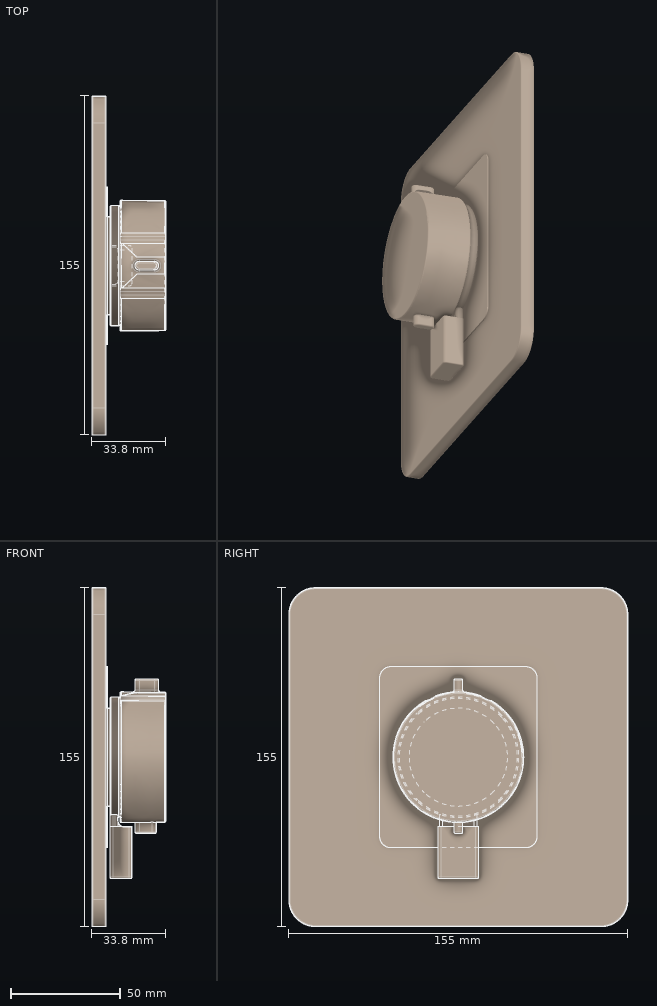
import cadquery as cq
import math


PLATE_SIDE = 155.0
PLATE_THICKNESS = 6.5
PLATE_CORNER_RADIUS = 12.4
PLATE_EDGE_FILLET = 0.5

PAD_WIDTH = 71.9
PAD_HEIGHT = 82.8
PAD_THICKNESS = 0.6
PAD_CORNER_RADIUS = 5.1

SPACER_RADIUS = 22.5
SPACER_THICKNESS = 1.1

BASE_RADIUS = 27.6
BASE_THICKNESS = 4.6
BASE_EDGE_CHAMFER = 0.6
ARM_WIDTH = 18.6
ARM_DEPTH = 10.0
ARM_TOP = -31.8
ARM_BOTTOM = -55.5
ARM_EDGE_FILLET = 1.4
ARM_END_FILLET = 0.6
ARM_NECK_WIDTH = 17.0
ARM_NECK_DEPTH = 3.7
WEB_RADIUS = 2.8
NECK_SIDE_FILLET = 1.4

KNOB_RADIUS = 29.9
KNOB_TIP_RADIUS = 29.8
KNOB_LENGTH = 21.0
KNOB_EDGE_FILLET = 0.6

GROOVE_DEPTH = 0.3
GROOVE_INNER = 10.2
GROOVE_OUTER = 15.0
GROOVE_FLOOR_INNER = 11.8
GROOVE_FLOOR_OUTER = 13.3

RELIEF_DEPTH = 0.2
RELIEF_INNER = 3.9
RELIEF_POINT = 1.0
RELIEF_SHOULDER = 7.8

TAB_WIDTH = 4.0
TAB_START = 6.8
TAB_LENGTH = 10.8
TAB_REACH = 35.8
TAB_ROOT_FILLET = 1.0
ROOT_BAND = 1.0
LUG_LENGTH = 9.8
LUG_REACH = 34.9
TIP_FILLET = 0.8

pad_start = PLATE_THICKNESS
spacer_start = pad_start + PAD_THICKNESS
base_start = spacer_start + SPACER_THICKNESS
knob_start = base_start + BASE_THICKNESS
knob_end = knob_start + KNOB_LENGTH


def block(x_start, x_end, width, z_start, z_end):
    """Box centred on Y = 0 between the given X and Z limits."""
    size = (x_end - x_start, width, z_end - z_start)
    return cq.Workplane("XY").box(*size, centered=(False, True, False)).translate((x_start, 0, z_start))


def disc(x_start, radius, thickness):
    """Cylinder about the X axis."""
    return cq.Workplane("YZ", origin=(x_start, 0, 0)).circle(radius).extrude(thickness)


def make_plate():
    plate = block(0, PLATE_THICKNESS, PLATE_SIDE, -PLATE_SIDE / 2, PLATE_SIDE / 2)
    plate = plate.edges("|X").fillet(PLATE_CORNER_RADIUS)
    return plate.faces("<X or >X").edges().fillet(PLATE_EDGE_FILLET)


def make_pad():
    pad = block(pad_start, spacer_start, PAD_WIDTH, -PAD_HEIGHT / 2, PAD_HEIGHT / 2)
    return pad.edges("|X").fillet(PAD_CORNER_RADIUS)


def make_spacer():
    return disc(spacer_start, SPACER_RADIUS, SPACER_THICKNESS)


def make_base():
    base = disc(base_start, BASE_RADIUS, BASE_THICKNESS)
    base = base.faces("<X or >X").edges().chamfer(BASE_EDGE_CHAMFER)

    arm = block(base_start, base_start + ARM_DEPTH, ARM_WIDTH, ARM_BOTTOM, ARM_TOP)
    arm = arm.edges("|Z").fillet(ARM_EDGE_FILLET)
    arm = arm.faces("<Z").edges().fillet(ARM_END_FILLET)

    neck_back = base_start + ARM_NECK_DEPTH
    neck = block(base_start, neck_back, ARM_NECK_WIDTH, ARM_TOP, 0)
    neck = neck.edges("|Z").fillet(NECK_SIDE_FILLET)

    web_width = ARM_NECK_WIDTH - 2 * NECK_SIDE_FILLET
    web_end = neck_back + WEB_RADIUS
    web_top = ARM_TOP + WEB_RADIUS
    web = block(neck_back - NECK_SIDE_FILLET, web_end, web_width, ARM_TOP, web_top)
    hollow = (
        cq.Workplane("XZ", origin=(web_end, 0, web_top))
        .circle(WEB_RADIUS)
        .extrude(web_width / 2, both=True)
    )
    return base.union(neck).union(arm).union(web.cut(hollow))


def knob_drum(inset=0.0):
    """Tapered drum of the knob, with its side moved inwards by the inset."""
    return (
        cq.Workplane("XY")
        .moveTo(knob_start, 0)
        .lineTo(knob_start, KNOB_RADIUS - inset)
        .lineTo(knob_end, KNOB_TIP_RADIUS - inset)
        .lineTo(knob_end, 0)
        .close()
        .revolve(360, (0, 0, 0), (1, 0, 0))
    )


def surface_height(y):
    """Height of the knob's tip edge above the axis at the given Y."""
    return math.sqrt(KNOB_TIP_RADIUS**2 - y**2)


def groove_cutter():
    """Shallow flat-bottomed trough on the +Y side, running the length of the knob."""
    floor_points = [
        (y, surface_height(y) - GROOVE_DEPTH) for y in (GROOVE_FLOOR_INNER, GROOVE_FLOOR_OUTER)
    ]
    return (
        cq.Workplane("YZ", origin=(knob_start, 0, 0))
        .moveTo(GROOVE_INNER, surface_height(GROOVE_INNER))
        .lineTo(*floor_points[0])
        .lineTo(*floor_points[1])
        .lineTo(GROOVE_OUTER, surface_height(GROOVE_OUTER))
        .lineTo(GROOVE_OUTER, KNOB_RADIUS)
        .lineTo(GROOVE_INNER, KNOB_RADIUS)
        .close()
        .extrude(KNOB_LENGTH)
    )


def relief_cutter():
    """Thin skin of the +Y side of the knob, widening from a point to its full width."""
    outline = (
        cq.Workplane("XY")
        .moveTo(knob_start + RELIEF_POINT, GROOVE_INNER)
        .lineTo(knob_start + RELIEF_SHOULDER, RELIEF_INNER)
        .lineTo(knob_end, RELIEF_INNER)
        .lineTo(knob_end, GROOVE_INNER)
        .close()
        .extrude(KNOB_RADIUS)
    )
    return outline.cut(knob_drum(RELIEF_DEPTH))


def rounded_tab(length, reach):
    """Upright tab with round ends, from inside the drum out to the given reach."""
    root = KNOB_TIP_RADIUS / 2
    return (
        cq.Workplane("XY", origin=(knob_start + TAB_START + length / 2, 0, root))
        .slot2D(length, TAB_WIDTH)
        .extrude(reach - root)
        .faces(">Z")
        .edges()
        .fillet(TIP_FILLET)
    )


def make_knob():
    knob = knob_drum().faces("<X or >X").edges().fillet(KNOB_EDGE_FILLET)
    tab = rounded_tab(TAB_LENGTH, TAB_REACH)
    lug = rounded_tab(LUG_LENGTH, LUG_REACH).rotate((0, 0, 0), (1, 0, 0), 180)

    knob = knob.union(tab)
    tab_start = knob_start + TAB_START
    root_edges = cq.selectors.BoxSelector(
        (tab_start, -TAB_WIDTH, KNOB_TIP_RADIUS - ROOT_BAND),
        (tab_start + TAB_LENGTH + TAB_ROOT_FILLET, TAB_WIDTH, KNOB_RADIUS + ROOT_BAND),
    )
    knob = knob.edges(root_edges).fillet(TAB_ROOT_FILLET)
    knob = knob.union(lug)

    for cutter in (groove_cutter(), relief_cutter()):
        knob = knob.cut(cutter).cut(cutter.mirror("XZ"))
    return knob


plate = make_plate()
pad = make_pad()
spacer = make_spacer()
base = make_base()
knob = make_knob()

result = cq.Compound.makeCompound([plate.val(), pad.val(), spacer.val(), base.val(), knob.val()])